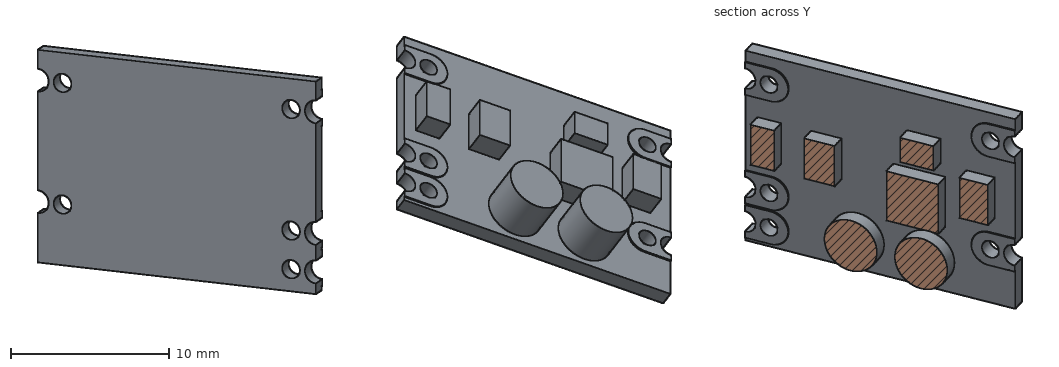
import cadquery as cq

board_width = 19.0
board_height = 14.0
board_thickness = 1.0
half_width = board_width / 2
half_height = board_height / 2

pad_thickness = 0.1
pad_length = 3.05
pad_width = 2.4
pad_end_radius = pad_width / 2
notch_diameter = 1.5
hole_diameter = 1.2
hole_edge_distance = 1.7

terminal_pitch = 2.54
upper_row_z = half_height - 2.0
lower_row_z = upper_row_z - 8.0
extra_row_z = lower_row_z - terminal_pitch
left_pad_rows = [upper_row_z, lower_row_z]
right_pad_rows = [upper_row_z, lower_row_z, extra_row_z]

capacitor_diameter = 3.73
capacitor_height = 3.0
capacitor_x_positions = [-3.36, 1.6]
capacitor_z = -4.74

block_height = 1.5
side_block_length = 3.0
side_block_z = 0.82
controller_block = (-2.75, -0.40, 3.67, 3.67)
upper_block = (-3.06, 3.25, 2.36, 1.83)
left_block = (-7.06, side_block_z, 2.0, side_block_length)
right_block = (3.80, side_block_z, 2.15, side_block_length)
edge_block = (7.82, side_block_z, 1.68, side_block_length)
blocks = [controller_block, upper_block, left_block, right_block, edge_block]


def plane_at(y):
    """Work plane parallel to the board at depth y, extruding toward +Y.

    Its local x axis points along -X so that local y stays along +Z.
    """
    return cq.Workplane(cq.Plane(origin=(0, y, 0), xDir=(-1, 0, 0), normal=(0, 1, 0)))


def make_box(x, z, size_x, size_z, y, depth):
    return plane_at(y).center(-x, z).rect(size_x, size_z).extrude(depth)


def make_cylinder(x, z, diameter, y, depth):
    return plane_at(y).center(-x, z).circle(diameter / 2).extrude(depth)


def make_pad(side, z):
    """Raised pad, square at the board edge and rounded at its inner end."""
    straight_length = pad_length - pad_end_radius
    straight_x = side * (half_width - straight_length / 2)
    round_x = side * (half_width - straight_length)
    straight = make_box(straight_x, z, straight_length, pad_width, board_thickness, pad_thickness)
    round_end = make_cylinder(round_x, z, pad_width, board_thickness, pad_thickness)
    return straight.union(round_end)


def make_terminal_cut(side, z):
    """Edge notch and through hole of one pad."""
    depth = board_thickness + pad_thickness
    notch = make_cylinder(side * half_width, z, notch_diameter, 0, depth)
    hole = make_cylinder(side * (half_width - hole_edge_distance), z, hole_diameter, 0, depth)
    return notch.union(hole)


result = make_box(0, 0, board_width, board_height, 0, board_thickness)

for side, rows in [(-1, left_pad_rows), (1, right_pad_rows)]:
    for row_z in rows:
        result = result.union(make_pad(side, row_z))
        result = result.cut(make_terminal_cut(side, row_z))

for capacitor_x in capacitor_x_positions:
    capacitor = make_cylinder(
        capacitor_x, capacitor_z, capacitor_diameter, board_thickness, capacitor_height
    )
    result = result.union(capacitor)

for block_x, block_z, size_x, size_z in blocks:
    block = make_box(block_x, block_z, size_x, size_z, board_thickness, block_height)
    result = result.union(block)